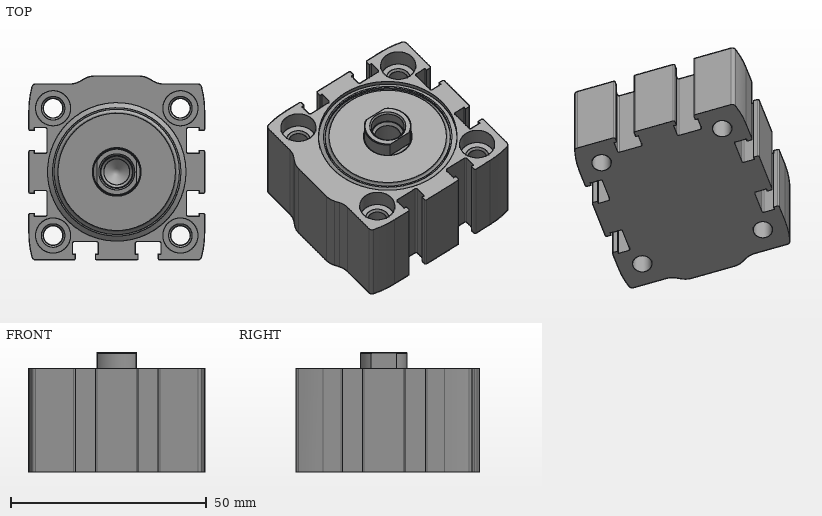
import cadquery as cq
import math

width = 45.0
half = width / 2
total_depth = 47.0
bump_y = total_depth - half
body_height = 26.5
side_flat_half = 15.55
side_radius = 23.95
corner_radius = 1.0
bump_half_foot = 10.58
bump_slope = 30.0
bump_radius = 5.0

slot_offset = 8.05
mouth_width = 5.1
slot_width = 6.55
lip_thickness = 1.45
slot_depth = 4.65
slot_round = 0.4

hole_pitch = 32.52
hole_dia = 4.95
hole_sink_dia = 6.0
counterbore_dia = 9.0
counterbore_depth = 5.08

recess_dia = 35.4
ridge_dia = 32.8
groove_dia = 32.0
cap_rim_dia = 30.4
cap_top_dia = 30.0
cap_depth = 0.25
ridge_depth = 0.4
outer_slope = 30.0
groove_slope = 40.0
rim_slope = 30.0

rod_dia = 12.0
rod_top = 30.5
rod_length = 20.0
rod_chamfer = 0.197
flat_width = 10.0
flat_end_depth = 0.38
flat_ramp = 30.0
rod_hole_chamfer = 0.25
socket_dia = 8.4
socket_mouth_dia = 9.2
socket_depth = 3.3
step_dia = 8.05
drill_dia = 6.65
drill_depth = 11.75
drill_tip_slope = 30.0

cap_z = body_height - cap_depth
rod_bottom = rod_top - rod_length


def rise(run, slope):
    """Height gained over a horizontal run at a slope in degrees."""
    return run * math.tan(math.radians(slope))


def bulge(distance):
    """Inward offset of a bulged X side at a distance past its straight stretch."""
    return side_radius - math.sqrt(side_radius**2 - distance**2)


def revolve_profile(points):
    """Solid of revolution about Z from (radius, z) points."""
    return cq.Workplane("XZ").polyline(points).close().revolve(360, (0, 0), (0, 1))


def housing_blank():
    bulge_length = half - side_flat_half
    corner_x = half - bulge(bulge_length)
    middle_x = half - bulge(bulge_length / 2)
    middle_y = side_flat_half + bulge_length / 2
    bump_half_top = bump_half_foot - (bump_y - half) / math.tan(math.radians(bump_slope))
    blank = (
        cq.Workplane("XY")
        .moveTo(-corner_x, -half)
        .lineTo(corner_x, -half)
        .threePointArc((middle_x, -middle_y), (half, -side_flat_half))
        .lineTo(half, side_flat_half)
        .threePointArc((middle_x, middle_y), (corner_x, half))
        .lineTo(bump_half_foot, half)
        .lineTo(bump_half_top, bump_y)
        .lineTo(-bump_half_top, bump_y)
        .lineTo(-bump_half_foot, half)
        .lineTo(-corner_x, half)
        .threePointArc((-middle_x, middle_y), (-half, side_flat_half))
        .lineTo(-half, -side_flat_half)
        .threePointArc((-middle_x, -middle_y), (-corner_x, -half))
        .close()
        .extrude(body_height)
    )
    for x in (-corner_x, corner_x):
        for y in (-half, half):
            blank = blank.edges(cq.selectors.NearestToPointSelector((x, y, body_height / 2))).fillet(corner_radius)
    for x, y in ((bump_half_foot, half), (bump_half_top, bump_y)):
        for sign in (-1, 1):
            edge = cq.selectors.NearestToPointSelector((sign * x, y, body_height / 2))
            blank = blank.edges(edge).fillet(bump_radius)
    return blank


def slot_cutter():
    """T-slot cutter open towards -Y, its mouth at Y = 0, flared by the rounded mouth edges."""
    mouth = mouth_width / 2
    inner = slot_width / 2
    flare = mouth + slot_round
    mid = slot_round * (1 - math.sqrt(0.5))
    profile = (
        cq.Workplane("XY")
        .moveTo(-flare, 0)
        .threePointArc((-mouth - mid, mid), (-mouth, slot_round))
        .lineTo(-mouth, lip_thickness)
        .lineTo(-inner, lip_thickness)
        .lineTo(-inner, slot_depth - slot_round)
        .threePointArc((-inner + mid, slot_depth - mid), (-inner + slot_round, slot_depth))
        .lineTo(inner - slot_round, slot_depth)
        .threePointArc((inner - mid, slot_depth - mid), (inner, slot_depth - slot_round))
        .lineTo(inner, lip_thickness)
        .lineTo(mouth, lip_thickness)
        .lineTo(mouth, slot_round)
        .threePointArc((mouth + mid, mid), (flare, 0))
        .close()
    )
    return profile.extrude(body_height)


def cut_slots(body):
    """Two T-slots on each of the -X, -Y and +X sides."""
    for angle in (-90, 0, 90):
        for offset in (-slot_offset, slot_offset):
            cutter = slot_cutter().translate((offset, -half, 0))
            body = body.cut(cutter.rotate((0, 0, 0), (0, 0, 1), angle))
    return body


def cut_mounting_holes(body):
    """Counterbored through holes, countersunk below the counterbore floor."""
    floor_z = body_height - counterbore_depth
    sink_z = floor_z - (hole_sink_dia - hole_dia) / 2
    cutter = revolve_profile([
        (0, 0),
        (hole_dia / 2, 0),
        (hole_dia / 2, sink_z),
        (hole_sink_dia / 2, floor_z),
        (counterbore_dia / 2, floor_z),
        (counterbore_dia / 2, body_height),
        (0, body_height),
    ])
    for x in (-hole_pitch / 2, hole_pitch / 2):
        for y in (-hole_pitch / 2, hole_pitch / 2):
            body = body.cut(cutter.translate((x, y, 0)))
    return body


def cut_end_cap_rings(body):
    """Recessed ridge, groove and sloped cap rim around the rod."""
    ridge_z = body_height - ridge_depth
    recess_z = ridge_z - rise((recess_dia - ridge_dia) / 2, outer_slope)
    rim_z = cap_z - rise((cap_rim_dia - cap_top_dia) / 2, rim_slope)
    groove_z = rim_z - rise((groove_dia - cap_rim_dia) / 2, groove_slope)
    cutter = revolve_profile([
        (0, cap_z),
        (cap_top_dia / 2, cap_z),
        (cap_rim_dia / 2, rim_z),
        (groove_dia / 2, groove_z),
        (groove_dia / 2, ridge_z),
        (ridge_dia / 2, ridge_z),
        (recess_dia / 2, recess_z),
        (recess_dia / 2, body_height),
        (0, body_height),
    ])
    return body.cut(cutter)


def cut_rod_hole(body):
    """Blind hole that holds the rod, chamfered at the cap face."""
    radius = rod_dia / 2
    cutter = revolve_profile([
        (0, rod_bottom),
        (radius, rod_bottom),
        (radius, cap_z - rod_hole_chamfer),
        (radius + rod_hole_chamfer, cap_z),
        (0, cap_z),
    ])
    return body.cut(cutter)


def make_housing():
    body = cut_slots(housing_blank())
    body = cut_mounting_holes(body)
    body = cut_end_cap_rings(body)
    return cut_rod_hole(body)


def rod_bore():
    """Stepped bore of the rod: chamfered socket, narrow ledge, drill hole and conical tip."""
    mouth_z = rod_top - (socket_mouth_dia - socket_dia) / 2
    socket_z = rod_top - socket_depth
    step_z = socket_z - (step_dia - drill_dia) / 2
    drill_z = rod_top - drill_depth
    tip_z = drill_z - rise(drill_dia / 2, drill_tip_slope)
    return revolve_profile([
        (0, tip_z),
        (drill_dia / 2, drill_z),
        (drill_dia / 2, step_z),
        (step_dia / 2, socket_z),
        (socket_dia / 2, socket_z),
        (socket_dia / 2, mouth_z),
        (socket_mouth_dia / 2, rod_top),
        (0, rod_top),
    ])


def flat_cutter():
    """Cutter for the +X flat, with a sloped run-out at its lower end."""
    flat_x = flat_width / 2
    outer_x = rod_dia
    flat_end_z = cap_z - flat_end_depth
    runout_z = flat_end_z - rise(outer_x - flat_x, flat_ramp)
    profile = cq.Workplane("XZ").polyline([
        (flat_x, flat_end_z),
        (outer_x, runout_z),
        (outer_x, rod_top),
        (flat_x, rod_top),
    ])
    return profile.close().extrude(rod_dia, both=True)


def make_rod():
    rod = cq.Workplane("XY", origin=(0, 0, rod_bottom)).circle(rod_dia / 2).extrude(rod_length)
    rod = rod.faces(">Z").chamfer(rod_chamfer)
    rod = rod.cut(rod_bore())
    for angle in (0, 180):
        rod = rod.cut(flat_cutter().rotate((0, 0, 0), (0, 0, 1), angle))
    return rod


housing = make_housing()
piston_rod = make_rod()
result = cq.Compound.makeCompound([housing.val(), piston_rod.val()])